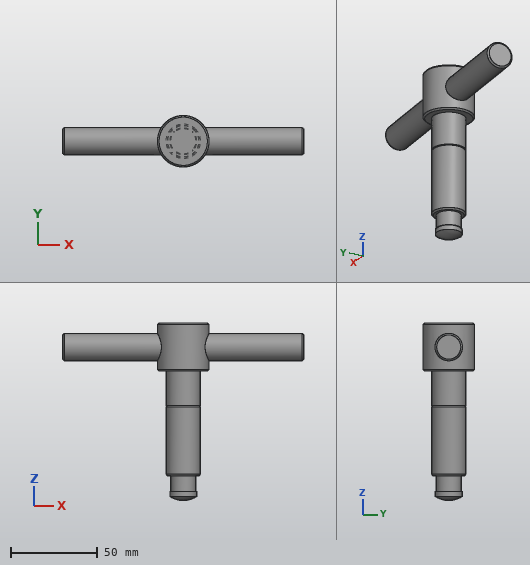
import cadquery as cq

bar_length = 140.0
bar_diameter = 16.0
bar_chamfer = 1.0

head_diameter = 30.0
head_height = 28.0
head_chamfer = 1.0
shank_diameter = 20.0
shank_length = 60.8
shank_chamfer = 1.0
groove_drop = 20.0
groove_chamfer = 0.7
neck_diameter = 14.7
neck_length = 9.0
lip_diameter = 15.7
lip_height = 3.0
dome_height = 2.4

head_top = head_height / 2
head_bottom = -head_height / 2
shank_bottom = head_bottom - shank_length
lip_top = shank_bottom - neck_length
lip_bottom = lip_top - lip_height
dome_bottom = lip_bottom - dome_height


def cylinder(diameter, top, bottom):
    """Vertical cylinder between two levels."""
    return cq.Workplane("XY").workplane(offset=bottom).circle(diameter / 2).extrude(top - bottom)


def make_bar():
    bar = cq.Workplane("YZ").circle(bar_diameter / 2).extrude(bar_length / 2, both=True)
    return bar.faces("<X or >X").chamfer(bar_chamfer)


def make_head():
    return cylinder(head_diameter, head_top, head_bottom).faces("<Z or >Z").chamfer(head_chamfer)


def make_shank():
    groove_level = head_bottom - groove_drop
    upper = cylinder(shank_diameter, head_bottom, groove_level)
    lower = cylinder(shank_diameter, groove_level, shank_bottom)
    lower = lower.faces(">Z").chamfer(groove_chamfer).faces("<Z").chamfer(shank_chamfer)
    return upper.union(lower)


def make_tip():
    """Neck, lip and domed end revolved about Z."""
    lip_radius = lip_diameter / 2
    neck_radius = neck_diameter / 2
    sphere_radius = (lip_radius**2 + dome_height**2) / (2 * dome_height)
    sphere_centre = dome_bottom + sphere_radius
    arc_x = lip_radius / 2
    arc_z = sphere_centre - (sphere_radius**2 - arc_x**2) ** 0.5
    return (
        cq.Workplane("XZ")
        .moveTo(0, shank_bottom)
        .lineTo(neck_radius, shank_bottom)
        .lineTo(neck_radius, lip_top)
        .lineTo(lip_radius, lip_top)
        .lineTo(lip_radius, lip_bottom)
        .threePointArc((arc_x, arc_z), (0, dome_bottom))
        .close()
        .revolve(360, (0, 0, 0), (0, 1, 0))
    )


result = make_head().union(make_bar()).union(make_shank()).union(make_tip())